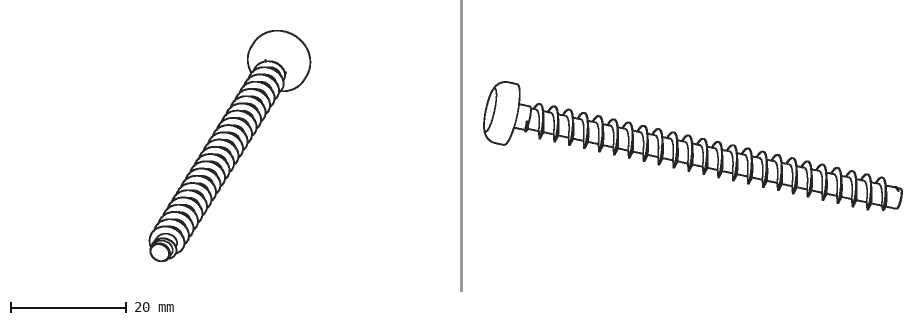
import cadquery as cq
import math


head_diameter = 10.8
head_height = 3.79
head_top_diameter = 7.6
head_dome_height = 2.1
head_rim_fillet = 0.2

shank_length = 70.0
collar_diameter = 4.2
collar_length = 2.95
collar_fillet = 0.65
core_diameter = 3.6
tip_chamfer = 0.15

thread_diameter = 6.0
pitch = 2.688
fade_turns = 1.15
total_turns = 25.2
full_turns = total_turns - 2 * fade_turns
thread_start = 1.67
thread_start_angle = -234.0
root_depth = 0.25
root_width = 1.0
crest_width = 0.12
root_radius = core_diameter / 2 - root_depth
fade_depth = 0.05
crest_radius = thread_diameter / 2
faded_radius = core_diameter / 2 - fade_depth

ORIGIN = cq.Vector(0, 0, 0)
X_AXIS = cq.Vector(1, 0, 0)
Z_AXIS = cq.Vector(0, 0, 1)


def make_blank():
    """Head, collar and core as one revolved outline; local X is radius, local Y is the screw axis."""
    head_radius = head_diameter / 2
    top_radius = head_top_diameter / 2
    collar_radius = collar_diameter / 2
    core_radius = core_diameter / 2
    dome_base = head_height - head_dome_height
    return (
        cq.Workplane("XY")
        .moveTo(0, -shank_length)
        .lineTo(core_radius - tip_chamfer, -shank_length)
        .lineTo(core_radius, tip_chamfer - shank_length)
        .lineTo(core_radius, -collar_length)
        .lineTo(collar_radius, -collar_length)
        .lineTo(collar_radius, -collar_fillet)
        .radiusArc((collar_radius + collar_fillet, 0), collar_fillet)
        .lineTo(head_radius - head_rim_fillet, 0)
        .radiusArc((head_radius, head_rim_fillet), -head_rim_fillet)
        .lineTo(head_radius, dome_base)
        .tangentArcPoint((top_radius, head_height), relative=False)
        .lineTo(0, head_height)
        .close()
        .revolve(360, (0, 0, 0), (0, 1, 0))
    )


def make_helix(start_turn, turns, start_radius, end_radius, offset):
    """Helix edge about Z whose radius stays or widens evenly; offset shifts it along Z."""
    height = turns * pitch
    if end_radius > start_radius:
        flare = math.atan2(end_radius - start_radius, height)
        slant = 1 / math.cos(flare)
        helix = cq.Wire.makeHelix(pitch * slant, height * slant, start_radius, angle=math.degrees(flare))
    else:
        helix = cq.Wire.makeHelix(pitch, height, start_radius)
    turned = helix.rotate(ORIGIN, Z_AXIS, 360 * start_turn)
    return turned.translate(cq.Vector(0, 0, start_turn * pitch + offset)).Edges()[0]


def make_rails(start_turn, turns, start_radius, end_radius):
    """The four helix edges of a trapezoidal ridge: root and crest on both flanks."""
    return [
        make_helix(start_turn, turns, root_radius, root_radius, -root_width / 2),
        make_helix(start_turn, turns, start_radius, end_radius, -crest_width / 2),
        make_helix(start_turn, turns, start_radius, end_radius, crest_width / 2),
        make_helix(start_turn, turns, root_radius, root_radius, root_width / 2),
    ]


def make_cap(rails, end):
    """Flat trapezoid closing the ridge where its rails start (end = 0) or finish (end = 1)."""
    corners = [rail.positionAt(end) for rail in rails]
    return cq.Face.makeFromWires(cq.Wire.makePolygon(corners, close=True))


def make_ridge(start_turn, turns, start_radius, end_radius):
    """Solid helical ridge, skinned in pieces of at most one turn, with an evenly changing crest radius."""
    pieces = math.ceil(turns)
    piece_turns = turns / pieces
    radius_step = (end_radius - start_radius) / pieces
    faces = []
    for piece in range(pieces):
        piece_start = start_turn + piece * piece_turns
        piece_radius = start_radius + piece * radius_step
        rails = make_rails(piece_start, piece_turns, piece_radius, piece_radius + radius_step)
        for rail, next_rail in zip(rails, rails[1:] + rails[:1]):
            faces.append(cq.Face.makeRuledSurface(rail, next_rail))
        if piece == 0:
            faces.append(make_cap(rails, 0))
    faces.append(make_cap(rails, 1))
    return cq.Solid.makeSolid(cq.Shell.makeShell(faces))


def make_thread():
    """Full-depth ridge with a fading ridge at each end, placed on the screw from head to tip."""
    full = make_ridge(fade_turns, full_turns, crest_radius, crest_radius)
    fade_in = make_ridge(0, fade_turns, faded_radius, crest_radius)

    middle = cq.Vector(0, 0, total_turns / 2 * pitch)
    middle_angle = math.pi * total_turns
    radial = cq.Vector(math.cos(middle_angle), math.sin(middle_angle), 0)
    fade_out = fade_in.rotate(middle, middle + radial, 180)

    ridges = []
    for ridge in (full, fade_in, fade_out):
        turned = ridge.rotate(ORIGIN, Z_AXIS, thread_start_angle)
        laid = turned.rotate(ORIGIN, X_AXIS, 90)
        ridges.append(laid.translate(cq.Vector(0, -thread_start, 0)))
    return ridges


screw = make_blank()
for ridge in make_thread():
    screw = screw.union(cq.Workplane(obj=ridge))

result = cq.Workplane(obj=screw.solids().val())